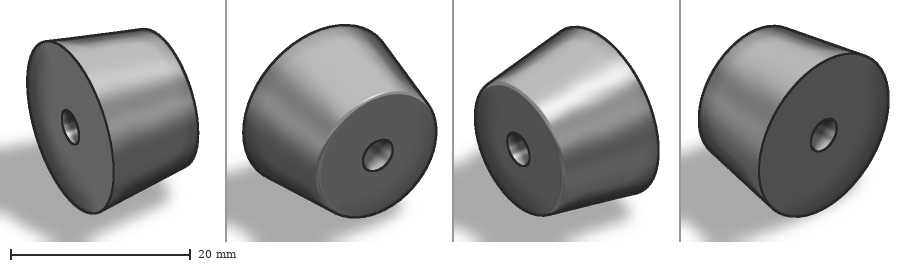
import cadquery as cq

base_diameter = 20.0
tip_diameter = 16.0
height = 12.0
tip_fillet = 0.5
bore_diameter = 4.0


def make_foot():
    """Conical foot with a rounded narrow end and a bore right through it."""
    base_radius = base_diameter / 2
    tip_radius = tip_diameter / 2
    bore_radius = bore_diameter / 2
    front = -height / 2
    back = height / 2
    profile = [
        (bore_radius, front),
        (base_radius, front),
        (tip_radius, back),
        (bore_radius, back),
    ]
    foot = cq.Workplane("XY").polyline(profile).close().revolve(360, (0, 0), (0, 1))
    tip_edge = cq.selectors.RadiusNthSelector(-2)
    return foot.edges(tip_edge).fillet(tip_fillet)


foot = make_foot()

result = cq.Compound.makeCompound([foot.val()])